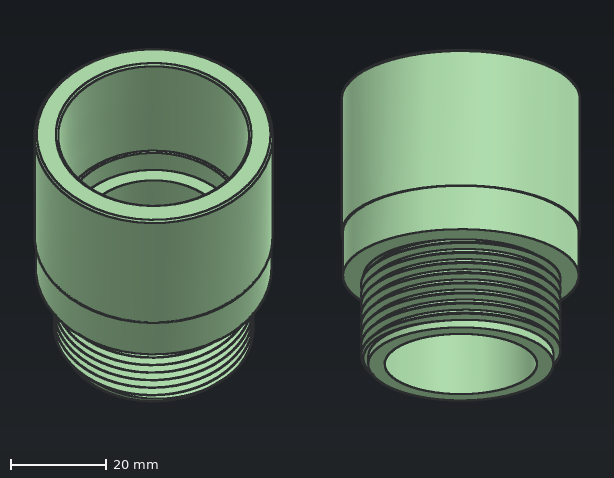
import cadquery as cq

total_height = 61.3

socket_diameter = 50.1
collar_diameter = 49.6
collar_bottom = 20.15
collar_top = 30.1
rim_chamfer = 0.5

mouth_diameter = 40.15
seat_diameter = 39.35
recess_diameter = 38.0
bore_diameter = 32.0
seat_height = 35.3
recess_bottom = collar_top

core_diameter = 38.9
thread_diameter = 41.9
thread_start = 1.65
thread_turns = 8
thread_length = collar_bottom - thread_start
thread_pitch = thread_length / thread_turns
thread_base_width = 1.9
thread_crest_width = 0.1
root_overlap = 0.25


def revolve_profile(points):
    """Solid of revolution about Z from (radius, height) points."""
    return cq.Workplane("XZ").polyline(points).close().revolve(360, (0, 0), (0, 1))


def make_body():
    """Outer shape: threaded core, collar and chamfered socket."""
    core_radius = core_diameter / 2
    collar_radius = collar_diameter / 2
    socket_radius = socket_diameter / 2
    return revolve_profile([
        (0, 0),
        (core_radius, 0),
        (core_radius, collar_bottom),
        (collar_radius, collar_bottom),
        (collar_radius, collar_top),
        (socket_radius, collar_top),
        (socket_radius, total_height - rim_chamfer),
        (socket_radius - rim_chamfer, total_height),
        (0, total_height),
    ])


def make_cavity():
    """Tapered socket with a pipe seat, a recess below it and the through bore."""
    mouth_radius = mouth_diameter / 2
    seat_radius = seat_diameter / 2
    recess_radius = recess_diameter / 2
    bore_radius = bore_diameter / 2
    return revolve_profile([
        (0, 0),
        (bore_radius, 0),
        (bore_radius, recess_bottom),
        (recess_radius, recess_bottom),
        (recess_radius, seat_height),
        (seat_radius, seat_height),
        (mouth_radius, total_height - rim_chamfer),
        (mouth_radius + rim_chamfer, total_height),
        (0, total_height),
    ])


def make_thread():
    """Right-handed V thread, trimmed flat at its start and at the collar.

    The helix runs one pitch past both ends so that the trimmed thread is full.
    """
    root_radius = core_diameter / 2 - root_overlap
    crest_radius = thread_diameter / 2
    helix = cq.Wire.makeHelix(thread_pitch, thread_length + 2 * thread_pitch, root_radius)
    half_base = thread_base_width / 2
    half_crest = thread_crest_width / 2
    ridge = (
        cq.Workplane("XZ")
        .polyline([
            (root_radius, -half_base),
            (crest_radius, -half_crest),
            (crest_radius, half_crest),
            (root_radius, half_base),
        ])
        .close()
        .sweep(cq.Workplane(helix), isFrenet=True)
        .translate((0, 0, thread_start - thread_pitch))
    )
    band = (
        cq.Workplane("XY", origin=(0, 0, thread_start))
        .circle(collar_diameter / 2)
        .extrude(thread_length)
    )
    return ridge.intersect(band)


result = make_body().union(make_thread()).cut(make_cavity())